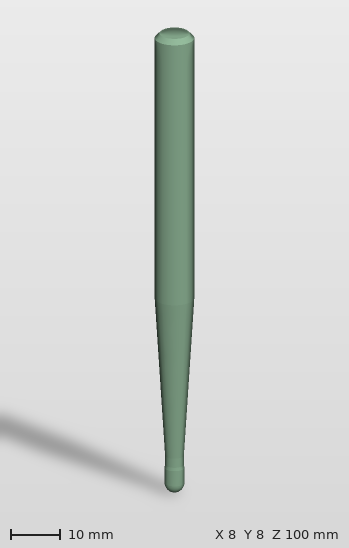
import cadquery as cq

total_length = 100.0
shank_radius = 4.0
end_chamfer = 1.0
cone_top = 42.3
cone_bottom = 8.0
neck_radius = 1.9

ball_radius = 2.0
head_top = 6.0
head_shoulder = 5.3


def make_shank():
    """Chamfered shank with its tapered section and slim neck."""
    profile = (
        cq.Workplane("XZ")
        .moveTo(0, head_top)
        .lineTo(neck_radius, head_top)
        .lineTo(neck_radius, cone_bottom)
        .lineTo(shank_radius, cone_top)
        .lineTo(shank_radius, total_length - end_chamfer)
        .lineTo(shank_radius - end_chamfer, total_length)
        .lineTo(0, total_length)
        .close()
    )
    return profile.revolve(360, (0, 0), (0, 1))


def make_cutting_head():
    """Round head with a hemispherical tip and a slight taper up to the neck."""
    profile = (
        cq.Workplane("XZ")
        .moveTo(0, 0)
        .radiusArc((ball_radius, ball_radius), -ball_radius)
        .lineTo(ball_radius, head_shoulder)
        .lineTo(neck_radius, head_top)
        .lineTo(0, head_top)
        .close()
    )
    return profile.revolve(360, (0, 0), (0, 1))


shank = make_shank()
cutting_head = make_cutting_head()

result = cq.Compound.makeCompound([shank.val(), cutting_head.val()])